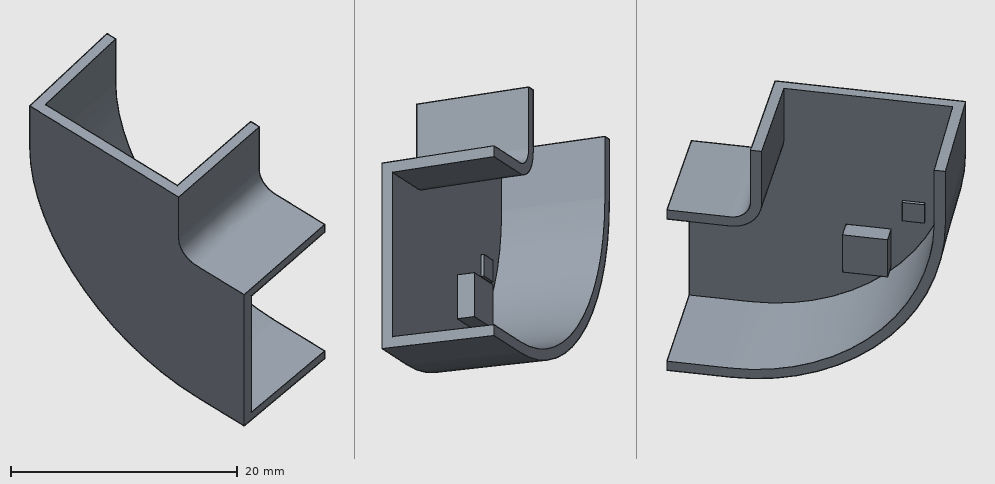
import cadquery as cq
import math

overall = 24.98
depth = 10.9
arm_width = 17.48
wall = 1.0
floor = 1.0
inner_bend_radius = 1.82
draft_angle = 1.0
end_overrun = 2.0

block_size = 4.05
block_height = 1.64
block_center = 8.72
pad_size = 2.0
pad_height = 0.3
pad_center_x = 4.65
pad_center_z = 13.0
root_depth = 0.5

bend_center = arm_width + inner_bend_radius


def elbow_prism(inset, overrun, height):
    """Drafted quarter-bend prism running from the open side toward the plate."""
    near = inset
    far = arm_width - inset
    end = overall + overrun
    outer_mid = bend_center - (bend_center - near) * math.sqrt(0.5)
    inner_mid = bend_center - (bend_center - far) * math.sqrt(0.5)
    return (
        cq.Workplane("XZ", origin=(0, depth, 0))
        .moveTo(near, end)
        .lineTo(near, bend_center)
        .threePointArc((outer_mid, outer_mid), (bend_center, near))
        .lineTo(end, near)
        .lineTo(end, far)
        .lineTo(bend_center, far)
        .threePointArc((inner_mid, inner_mid), (far, bend_center))
        .lineTo(far, end)
        .close()
        .extrude(height, taper=draft_angle)
    )


def raised_square(center_x, center_z, size, height):
    """Square boss rooted in the plate and rising from its inner face."""
    return (
        cq.Workplane("XZ", origin=(0, floor + height, 0))
        .center(center_x, center_z)
        .rect(size, size)
        .extrude(height + root_depth)
    )


body = elbow_prism(0, 0, depth)
cavity = elbow_prism(wall, end_overrun, depth - floor)
block = raised_square(block_center, block_center, block_size, block_height)
pad = raised_square(pad_center_x, pad_center_z, pad_size, pad_height)

result = body.cut(cavity).union(block).union(pad)